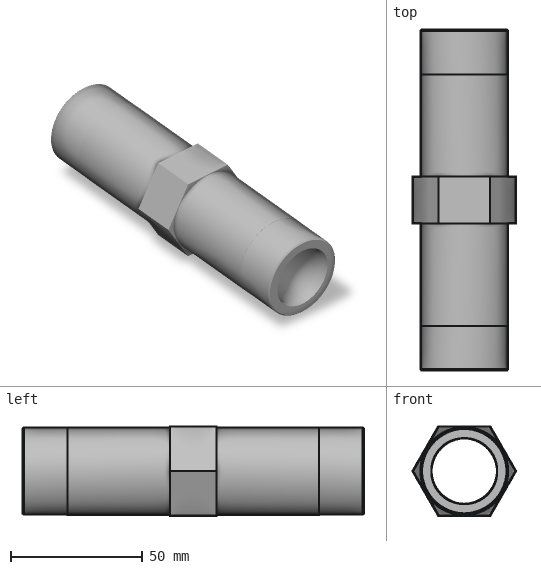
import cadquery as cq
import math

length = 130.0
bore_diameter = 25.0
body_diameter = 33.4

end_diameter = 33.3
end_length = 17.0
end_chamfer = 0.5

hex_across_flats = 34.0
hex_length = 17.8
hex_across_corners = hex_across_flats / math.cos(math.pi / 6)


def along_y(span):
    """Workplane from which an extrusion of the given span is centred along Y."""
    return cq.Workplane("XZ", origin=(0, span / 2, 0))


def make_pipe():
    spigots = along_y(length).circle(end_diameter / 2).extrude(length)
    spigots = spigots.faces("<Y or >Y").edges().chamfer(end_chamfer)
    body_length = length - 2 * end_length
    body = along_y(body_length).circle(body_diameter / 2).extrude(body_length)
    return spigots.union(body)


def make_hexagon():
    return along_y(hex_length).polygon(6, hex_across_corners).extrude(hex_length)


bore = along_y(length).circle(bore_diameter / 2).extrude(length)

result = make_pipe().union(make_hexagon()).cut(bore)